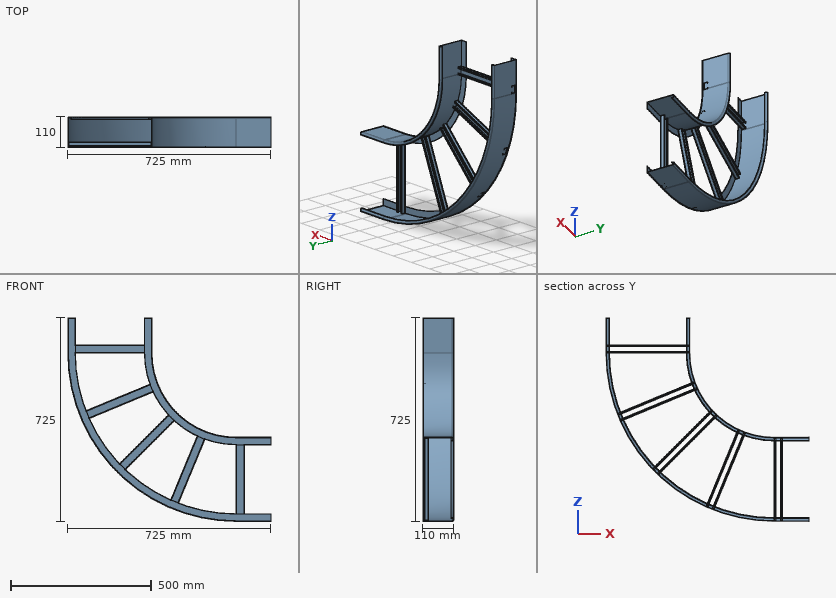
import cadquery as cq
size = 725.0
straight = 125.0
bend_angle = 90
bend_axis = size - straight
outer_radius = bend_axis
inner_radius = 300.0
depth = 110.0

sheet = 2.0
flange_width = 27.0
hem_radius = 6.5
hem_depth = 10.0

rung_count = 5
rung_width = 30.0
rung_depth = 15.0
rung_front = 5.0
rung_lip = 6.5
rung_end_gap = sheet


def rail_profile(web_radius, flange_direction):
    """Rail section in the XY plane, where the flange points along X by flange_direction."""
    web_x = bend_axis - web_radius
    hem_y = depth - hem_radius
    lip_y = depth - hem_depth
    lip_outside = 2 * hem_radius
    lip_inside = lip_outside - sheet

    def point(offset, y):
        return (web_x + flange_direction * offset, y)

    return (
        cq.Workplane("XY", origin=(0, 0, bend_axis))
        .moveTo(*point(0, 0))
        .lineTo(*point(0, hem_y))
        .threePointArc(point(hem_radius, depth), point(lip_outside, hem_y))
        .lineTo(*point(lip_outside, lip_y))
        .lineTo(*point(lip_inside, lip_y))
        .lineTo(*point(lip_inside, hem_y))
        .threePointArc(point(hem_radius, depth - sheet), point(sheet, hem_y))
        .lineTo(*point(sheet, sheet))
        .lineTo(*point(flange_width, sheet))
        .lineTo(*point(flange_width, 0))
        .close()
    )


def turn_about_bend(body, angle):
    """Turn a body about the bend axis, from the upright end toward the level end."""
    return body.rotate((bend_axis, 0, bend_axis), (bend_axis, -1, bend_axis), angle)


def make_rail(web_radius, flange_direction):
    """Two straight runs joined by a quarter bend."""
    upright = rail_profile(web_radius, flange_direction).extrude(straight)
    axis_start = (bend_axis, 0, 0)
    axis_end = (bend_axis, -1, 0)
    curve = rail_profile(web_radius, flange_direction).revolve(bend_angle, axis_start, axis_end)
    level = rail_profile(web_radius, flange_direction).extrude(-straight)
    level = turn_about_bend(level, bend_angle)
    return upright.union(curve).union(level)


def rung_block(length, block_depth, width):
    """Block along X with its front on Y = 0, centred on Z = 0."""
    return cq.Workplane("XY").box(length, block_depth, width, centered=(False, False, True))


def make_rung(angle, side_shift):
    """Channel between the two webs at an angle round the bend, moved sideways by side_shift."""
    left = sheet + rung_end_gap
    right = bend_axis - inner_radius - sheet - rung_end_gap
    length = right - left
    bar = rung_block(length, rung_depth, rung_width)
    cavity = rung_block(length, rung_depth - 2 * sheet, rung_width - 2 * sheet)
    slot = rung_block(length, rung_depth - sheet, rung_width - 2 * rung_lip)
    behind_front_wall = (0, sheet, 0)
    channel = bar.cut(cavity.translate(behind_front_wall)).cut(slot.translate(behind_front_wall))
    placed = channel.translate((left, rung_front, bend_axis + side_shift))
    return turn_about_bend(placed, angle)


outer_rail = make_rail(outer_radius, 1)
inner_rail = make_rail(inner_radius, -1)

last_rung = rung_count - 1
end_shifts = {0: rung_width / 2, last_rung: -rung_width / 2}
rungs = []
for index in range(rung_count):
    rung = make_rung(bend_angle * index / last_rung, end_shifts.get(index, 0))
    rungs.append(rung.val())

result = cq.Compound.makeCompound([outer_rail.val(), inner_rail.val(), *rungs])